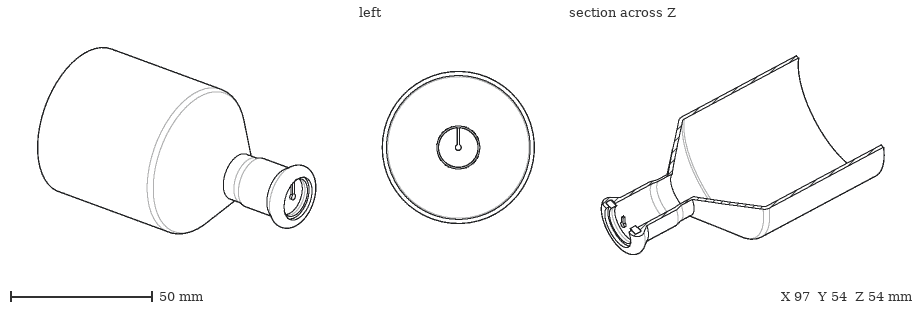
import cadquery as cq
import math

total_length = 97.0
body_radius = 54.0 / 2
body_bore_radius = 51.0 / 2

barrel_length = 49.9
neck_end = 74.4
socket_start = 77.0
socket_end = 89.9

neck_radius = 17.0 / 2
neck_bore_radius = 15.2 / 2
socket_radius = 18.3 / 2
socket_bore_radius = 15.8 / 2
bead_radius = 11.6
bead_round = 2.7

cone_angle = math.radians(45)
shoulder_round = 2.9
inner_shoulder_round = shoulder_round - (body_radius - body_bore_radius)
shoulder_center_radius = body_radius - shoulder_round

seal_inner_radius = 14.0 / 2
seal_outer_radius = 9.9
seal_width = 2.3
tab_width = 0.9
tab_thickness = 0.9
disc_radius = 1.1

bead_center_x = total_length - bead_round
bead_center_radius = bead_radius - bead_round


def shoulder_point(round_radius, angle):
    """Point on a shoulder arc, with the angle measured from the radial direction."""
    return (
        barrel_length + round_radius * math.sin(angle),
        shoulder_center_radius + round_radius * math.cos(angle),
    )


def bead_point(angle):
    """Point on the bead arc, with the angle measured from the radial direction toward +X."""
    return (
        bead_center_x + bead_round * math.sin(angle),
        bead_center_radius + bead_round * math.cos(angle),
    )


def cone_end(start, end_radius):
    """Point where the cone that leaves the shoulder reaches the given radius."""
    return (start[0] + (start[1] - end_radius) / math.tan(cone_angle), end_radius)


def revolve_about_x(profile):
    return profile.close().revolve(360, (0, 0, 0), (1, 0, 0))


def make_outer_shape():
    shoulder_end = shoulder_point(shoulder_round, cone_angle)
    run = bead_center_x - socket_end
    rise = bead_center_radius - socket_radius
    flank_angle = math.atan2(rise, run) + math.asin(bead_round / math.hypot(run, rise))
    lip_angle = math.acos((socket_bore_radius - bead_center_radius) / bead_round)
    profile = (
        cq.Workplane("XY")
        .moveTo(0, 0)
        .lineTo(0, body_radius)
        .lineTo(barrel_length, body_radius)
        .threePointArc(shoulder_point(shoulder_round, cone_angle / 2), shoulder_end)
        .lineTo(*cone_end(shoulder_end, neck_radius))
        .lineTo(neck_end, neck_radius)
        .lineTo(socket_start, socket_radius)
        .lineTo(socket_end, socket_radius)
        .lineTo(*bead_point(-flank_angle))
        .threePointArc(bead_point(0), bead_point(lip_angle))
        .lineTo(bead_point(lip_angle)[0], 0)
    )
    return revolve_about_x(profile)


def make_bore():
    shoulder_end = shoulder_point(inner_shoulder_round, cone_angle)
    profile = (
        cq.Workplane("XY")
        .moveTo(0, 0)
        .lineTo(0, body_bore_radius)
        .lineTo(barrel_length, body_bore_radius)
        .threePointArc(shoulder_point(inner_shoulder_round, cone_angle / 2), shoulder_end)
        .lineTo(*cone_end(shoulder_end, neck_bore_radius))
        .lineTo(neck_end, neck_bore_radius)
        .lineTo(socket_start, socket_bore_radius)
        .lineTo(total_length, socket_bore_radius)
        .lineTo(total_length, 0)
    )
    return revolve_about_x(profile)


def make_seal_ring():
    return (
        cq.Workplane("YZ", origin=(bead_center_x, 0, 0))
        .circle(seal_outer_radius)
        .circle(seal_inner_radius)
        .extrude(seal_width / 2, both=True)
    )


def make_reducer():
    return make_outer_shape().cut(make_bore()).cut(make_seal_ring())


def make_seal():
    tab = (
        cq.Workplane("XY")
        .center(bead_center_x, 0)
        .rect(tab_thickness, tab_width)
        .extrude((seal_inner_radius + seal_outer_radius) / 2)
    )
    disc = (
        cq.Workplane("YZ", origin=(bead_center_x, 0, 0))
        .circle(disc_radius)
        .extrude(tab_thickness / 2, both=True)
    )
    return make_seal_ring().union(tab.union(disc).clean())


reducer = make_reducer()
seal = make_seal()

result = cq.Compound.makeCompound([*reducer.solids().vals(), *seal.solids().vals()])